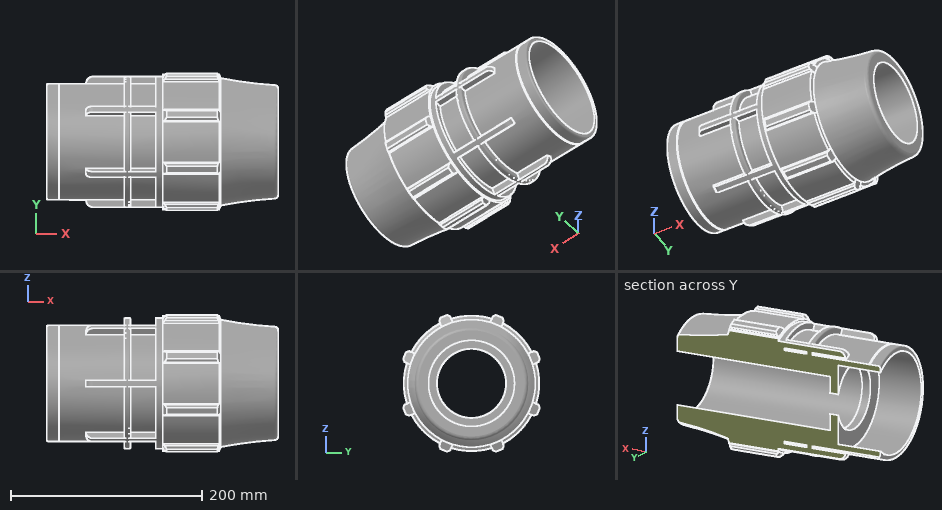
import cadquery as cq
import math

total_length = 242.0

body_radius = 60.8
body_end_fillet = 1.9
groove_start = 12.4
groove_width = 0.9
groove_depth = 0.2

socket_radius = 110.07 / 2
socket_depth = 50.0
passage_radius = 72.0 / 2
passage_length = 10.0
pipe_radius = 90.0 / 2

collar_radius = 68.4
flange_start = 113.8
ring_start = 80.8
ring_width = 7.0
ring_fillet = 1.9
rib_start = 41.0
rib_width = 7.0
rib_count = 6

nut_radius = 70.9
nut_start = 121.3
nut_edge = 180.2
nut_end = 181.8

nose_base_radius = 66.7
nose_tip_radius = 59.2
nose_sag = 1.1
nose_tip_fillet = 4.0

lug_count = 8
lug_radius = 75.84
lug_shoulder_radius = 73.2
lug_half_width = 6.3
lug_top_half_width = 3.75
lug_lead_length = 3.9

root_radius = body_radius - 2.0


def revolve_outline(outline):
    """Turn a closed (x, radius) outline about the X axis."""
    return outline.close().revolve(360, (0, 0, 0), (1, 0, 0))


def repeat_around(shape, count, first_angle):
    """Union of equally spaced copies of a shape about the X axis."""
    step = 360 / count
    copies = shape.rotate((0, 0, 0), (1, 0, 0), first_angle)
    for index in range(1, count):
        copies = copies.union(shape.rotate((0, 0, 0), (1, 0, 0), first_angle + index * step))
    return copies


def make_core():
    """Solid body, flange, nut and nose."""
    nose_middle_x = (nut_end + total_length) / 2
    nose_middle_radius = (nose_base_radius + nose_tip_radius) / 2 - nose_sag
    core = revolve_outline(
        cq.Workplane("XY")
        .moveTo(0, 0)
        .lineTo(0, body_radius)
        .lineTo(flange_start, body_radius)
        .lineTo(flange_start, collar_radius)
        .lineTo(nut_start, collar_radius)
        .lineTo(nut_start, nut_radius)
        .lineTo(nut_edge, nut_radius)
        .lineTo(nut_end, nose_base_radius)
        .threePointArc((nose_middle_x, nose_middle_radius), (total_length, nose_tip_radius))
        .lineTo(total_length, 0)
    )
    core = core.faces("<X").edges().fillet(body_end_fillet)
    return core.faces(">X").edges().fillet(nose_tip_fillet)


def make_groove():
    """Shallow marking groove near the socket mouth."""
    return revolve_outline(
        cq.Workplane("XY")
        .moveTo(groove_start, body_radius - groove_depth)
        .lineTo(groove_start, collar_radius)
        .lineTo(groove_start + groove_width, collar_radius)
        .lineTo(groove_start + groove_width, body_radius - groove_depth)
    )


def make_ring():
    """Ring with rounded outer edges that ties the ribs together."""
    ring = (
        cq.Workplane("YZ")
        .workplane(offset=ring_start)
        .circle(collar_radius)
        .extrude(ring_width)
        .edges()
        .fillet(ring_fillet)
    )
    return ring


def make_ribs():
    """Lengthwise ribs with a rounded nose, trimmed to the collar radius."""
    nose_radius = collar_radius - body_radius
    nose_centre_x = rib_start + nose_radius
    diagonal = nose_radius * math.sqrt(0.5)
    rib = (
        cq.Workplane("XY")
        .moveTo(rib_start, root_radius)
        .lineTo(rib_start, body_radius)
        .threePointArc((nose_centre_x - diagonal, body_radius + diagonal), (nose_centre_x, collar_radius))
        .lineTo(nut_start, collar_radius)
        .lineTo(nut_start, root_radius)
        .close()
        .extrude(rib_width / 2, both=True)
    )
    envelope = cq.Workplane("YZ").circle(collar_radius).extrude(total_length)
    return repeat_around(rib, rib_count, 0).intersect(envelope)


def make_lugs():
    """Bevelled grip lugs, sloped down to the nut at both ends."""
    lug = (
        cq.Workplane("YZ")
        .workplane(offset=nut_start)
        .moveTo(-lug_half_width, root_radius)
        .lineTo(-lug_half_width, lug_shoulder_radius)
        .lineTo(-lug_top_half_width, lug_radius)
        .lineTo(lug_top_half_width, lug_radius)
        .lineTo(lug_half_width, lug_shoulder_radius)
        .lineTo(lug_half_width, root_radius)
        .close()
        .extrude(nut_end - nut_start)
    )
    tail_slope = (nut_end - nut_edge) / (nut_radius - nose_base_radius)
    tail_x = nut_edge - tail_slope * (lug_radius - nut_radius)
    side_profile = (
        cq.Workplane("XZ")
        .moveTo(nut_start, root_radius)
        .lineTo(nut_start, nut_radius)
        .lineTo(nut_start + lug_lead_length, lug_radius)
        .lineTo(tail_x, lug_radius)
        .lineTo(nut_end, nose_base_radius)
        .lineTo(nut_end, root_radius)
        .close()
        .extrude(lug_half_width, both=True)
    )
    return repeat_around(lug.intersect(side_profile), lug_count, 180 / lug_count)


def make_bore():
    """Socket, narrow passage and pipe bore in one stepped cut."""
    passage_end = socket_depth + passage_length
    return revolve_outline(
        cq.Workplane("XY")
        .moveTo(0, 0)
        .lineTo(0, socket_radius)
        .lineTo(socket_depth, socket_radius)
        .lineTo(socket_depth, passage_radius)
        .lineTo(passage_end, passage_radius)
        .lineTo(passage_end, pipe_radius)
        .lineTo(total_length, pipe_radius)
        .lineTo(total_length, 0)
    )


coupling = make_core().cut(make_groove())
coupling = coupling.union(make_ring()).union(make_ribs()).union(make_lugs())
result = coupling.cut(make_bore())